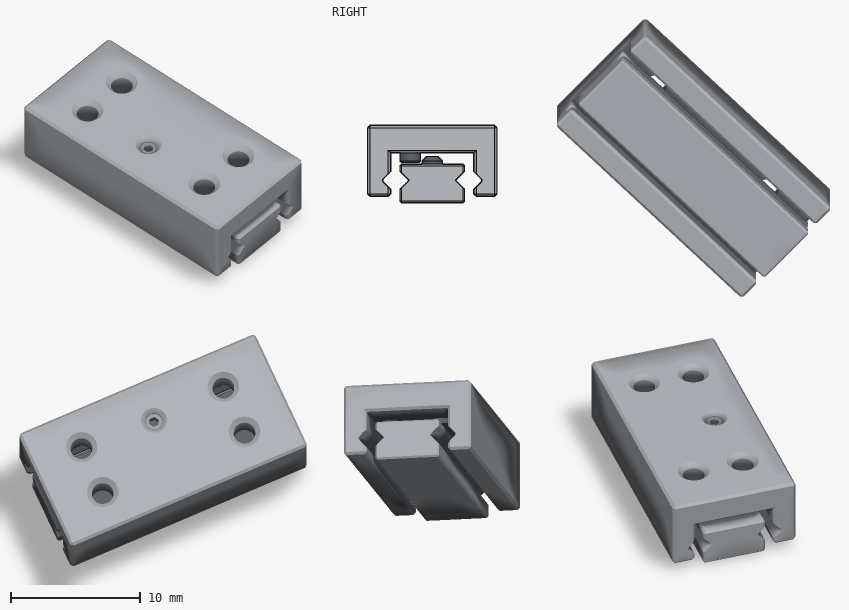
import cadquery as cq

length = 20.0
height = 6.0

carriage_width = 10.0
carriage_bottom = 0.5
slot_width = 6.4
slot_ceiling = 3.85
carriage_chamfer = 0.2

rail_width = 5.0
rail_height = 3.0
rail_chamfer = 0.15

raceway_height = 1.75
raceway_depth = 0.7
carriage_raceway_radius = 0.2

mount_spacing_x = 12.0
mount_spacing_y = 4.0
mount_diameter = 1.68
mount_sink_diameter = 2.45

screw_y = -1.7
screw_diameter = 1.6
screw_end_diameter = 1.32
screw_bottom = 3.1
screw_length = 2.5
screw_top = screw_bottom + screw_length
screw_sink_diameter = 2.0
socket_sides = 6
socket_flats = 0.7
socket_depth = 0.7
socket_turn = 30.0

pin_diameter = 1.6
pin_tip_diameter = 0.88
pin_shoulder_height = 0.25
pin_height = 0.6

sink_angle = 90.0


def bar(width, bottom, top):
    """Full-length bar centred on the X axis between two heights."""
    return (
        cq.Workplane("XY")
        .workplane(offset=bottom)
        .box(length, width, top - bottom, centered=(True, True, False))
    )


def raceway_cutter(wall_y, direction):
    """Full-length V groove opening at wall_y, its point reaching raceway_depth along direction in Y."""
    point_y = wall_y + direction * raceway_depth
    mouth_y = wall_y - direction * raceway_depth
    half_mouth = abs(point_y - mouth_y)
    return (
        cq.Workplane("YZ")
        .polyline([
            (point_y, raceway_height),
            (mouth_y, raceway_height + half_mouth),
            (mouth_y, raceway_height - half_mouth),
        ])
        .close()
        .extrude(length / 2, both=True)
    )


def chamfered_cylinder(diameter, end_diameter, bottom, top):
    """Upright cylinder with 45 degree chamfers down to end_diameter at both ends."""
    return (
        cq.Workplane("XY")
        .workplane(offset=bottom)
        .circle(diameter / 2)
        .extrude(top - bottom)
        .faces("<Z or >Z")
        .chamfer((diameter - end_diameter) / 2)
    )


def make_screw_blank():
    """Set screw before its socket is cut; also the shape of its seat in the carriage."""
    blank = chamfered_cylinder(screw_diameter, screw_end_diameter, screw_bottom, screw_top)
    return blank.translate((0, screw_y, 0))


def make_set_screw():
    """Set screw with a hexagon socket in its top."""
    socket = (
        cq.Workplane("XY")
        .transformed(offset=(0, screw_y, screw_top - socket_depth), rotate=(0, 0, socket_turn))
        .polygon(socket_sides, socket_flats, circumscribed=True)
        .extrude(socket_depth)
    )
    return make_screw_blank().cut(socket)


def make_carriage():
    """Channel with raceways on its inner walls, mounting holes and the set screw seat."""
    body = bar(carriage_width, carriage_bottom, height).cut(bar(slot_width, carriage_bottom, slot_ceiling))

    corner_edges = body.edges("|X").edges(
        cq.selectors.BoxSelector(
            (-length, -slot_width, slot_ceiling - carriage_chamfer),
            (length, slot_width, slot_ceiling + carriage_chamfer),
        )
    ).vals()
    outer_edges = body.edges().filter(lambda edge: edge not in corner_edges)
    body = outer_edges.chamfer(carriage_chamfer)

    for side in (-1, 1):
        wall_y = side * slot_width / 2
        groove = raceway_cutter(wall_y, side)
        groove = groove.edges(">Y" if side > 0 else "<Y").fillet(carriage_raceway_radius)
        body = body.cut(groove)

    body = (
        body.faces(">Z")
        .workplane(origin=(0, 0, height))
        .rect(mount_spacing_x, mount_spacing_y, forConstruction=True)
        .vertices()
        .cskHole(mount_diameter, mount_sink_diameter, sink_angle)
    )

    body = (
        body.faces(">Z")
        .workplane(origin=(0, screw_y, height))
        .cskHole(screw_end_diameter, screw_sink_diameter, sink_angle, height - slot_ceiling)
    )
    return body.cut(make_screw_blank())


def make_rail():
    """Chamfered bar with a V raceway along each side."""
    body = bar(rail_width, 0, rail_height).edges().chamfer(rail_chamfer)
    for side in (-1, 1):
        body = body.cut(raceway_cutter(side * rail_width / 2, -side))
    return body


def make_stop_pin():
    """Short cylinder with a truncated cone on top, resting on the middle of the rail."""
    return (
        cq.Workplane("XZ")
        .polyline([
            (0, rail_height),
            (pin_diameter / 2, rail_height),
            (pin_diameter / 2, rail_height + pin_shoulder_height),
            (pin_tip_diameter / 2, rail_height + pin_height),
            (0, rail_height + pin_height),
        ])
        .close()
        .revolve(360, (0, 0), (0, 1))
    )


carriage = make_carriage()
rail = make_rail()
set_screw = make_set_screw()
stop_pin = make_stop_pin()

result = cq.Compound.makeCompound([carriage.val(), rail.val(), set_screw.val(), stop_pin.val()])